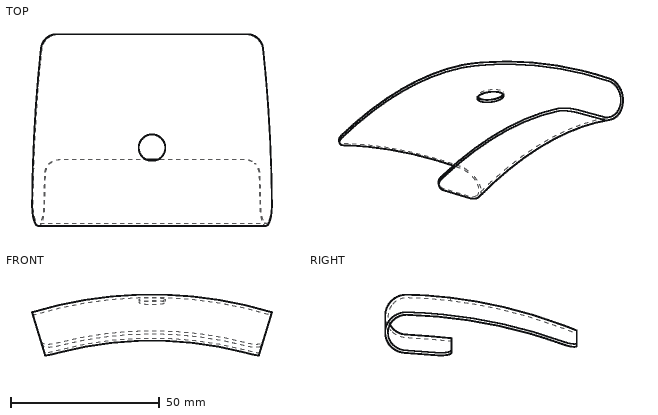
import cadquery as cq
import math

width = 81.0
depth = 64.7
thickness = 1.0

half_angle = 16.9
crest_radius = width / 2 / math.sin(math.radians(half_angle))

dome_radius = 162.0
dome_start_angle = 1.6
bend_radius = 7.2
lip_slope = 4.5
lip_end = 22.4

corner_radius = 4.85
hole_diameter = 8.9
hole_from_front = 26.4

spare_angle = 2.0
cutter_width = 12.15
cutter_height = 24.3
cutter_margin = 1.6


def polar(center, radius, angle):
    """Point at an angle in degrees from +Z towards +Y."""
    turn = math.radians(angle)
    return (center[0] + radius * math.sin(turn), center[1] + radius * math.cos(turn))


def hook_curves(inset):
    """Key points of the hook curve inset from its outer skin, from plate tip to lip end."""
    bend_center = (bend_radius, -bend_radius)
    dome_center = polar(bend_center, bend_radius - dome_radius, dome_start_angle)
    skin_radius = dome_radius - inset
    skin_bend = bend_radius - inset
    tip_angle = math.degrees(math.asin((depth - dome_center[0]) / skin_radius))
    lip_angle = -180 + lip_slope
    lip_start = polar(bend_center, skin_bend, lip_angle)
    lip_drop = (lip_end - lip_start[0]) * math.tan(math.radians(lip_slope))
    return {
        "tip": polar(dome_center, skin_radius, tip_angle),
        "dome_middle": polar(dome_center, skin_radius, (tip_angle + dome_start_angle) / 2),
        "bend_start": polar(bend_center, skin_bend, dome_start_angle),
        "bend_middle": polar(bend_center, skin_bend, (dome_start_angle + lip_angle) / 2),
        "lip_start": lip_start,
        "lip_end": (lip_end, lip_start[1] - lip_drop),
    }


def arched_hook():
    """Hook revolved about the arch axis, centred on X = 0, with spare width at both sides."""
    outer = hook_curves(0)
    inner = hook_curves(thickness)
    section = (
        cq.Workplane("YZ")
        .moveTo(*outer["tip"])
        .threePointArc(outer["dome_middle"], outer["bend_start"])
        .threePointArc(outer["bend_middle"], outer["lip_start"])
        .lineTo(*outer["lip_end"])
        .lineTo(*inner["lip_end"])
        .lineTo(*inner["lip_start"])
        .threePointArc(inner["bend_middle"], inner["bend_start"])
        .threePointArc(inner["dome_middle"], inner["tip"])
        .close()
    )
    axis_start = (0, -crest_radius)
    axis_end = (1, -crest_radius)
    swept_half = half_angle + spare_angle
    swept = section.revolve(2 * swept_half, axis_start, axis_end)
    return swept.rotate((0, 0, -crest_radius), (0, 1, -crest_radius), -swept_half)


def edge_waste(end, top):
    """Waste beyond a straight side edge at X = 0 and its rounded corner at the given end."""
    diagonal = corner_radius * (1 - math.sqrt(0.5))
    return (
        cq.Workplane("XY", origin=(0, 0, top))
        .moveTo(0, -cutter_margin)
        .lineTo(0, end - corner_radius)
        .threePointArc((diagonal, end - diagonal), (corner_radius, end))
        .lineTo(corner_radius, end + cutter_margin)
        .lineTo(-cutter_width, end + cutter_margin)
        .lineTo(-cutter_width, -cutter_margin)
        .close()
        .extrude(-cutter_height - top)
    )


def side_cutter():
    """Cutter for the -X side, turned onto the radial plane that bounds the arch."""
    waste = edge_waste(depth, cutter_margin).union(edge_waste(lip_end, -bend_radius))
    return waste.rotate((0, 0, -crest_radius), (0, 1, -crest_radius), -half_angle)


def hole_cutter():
    """Vertical cutter reaching through the plate but stopping above the lip."""
    return (
        cq.Workplane("XY")
        .center(0, hole_from_front)
        .circle(hole_diameter / 2)
        .extrude(-bend_radius)
    )


left_waste = side_cutter()
result = (
    arched_hook()
    .cut(left_waste)
    .cut(left_waste.mirror("YZ"))
    .cut(hole_cutter())
)